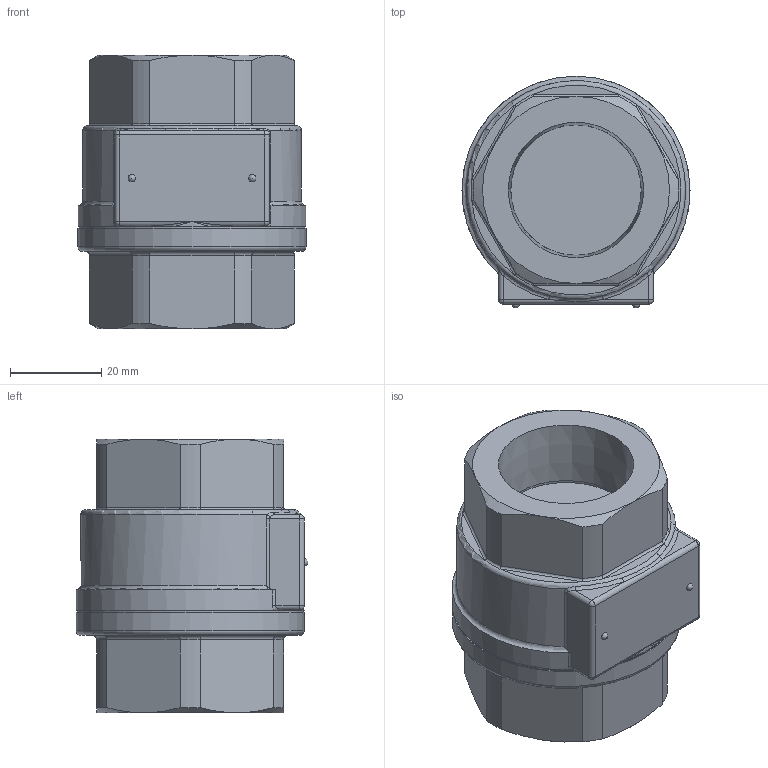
import cadquery as cq
import math

TOTAL_HEIGHT = 60.0
END_Z = TOTAL_HEIGHT / 2

HEX_ACROSS_FLATS = 41.0
HEX_CORNER_DIAMETER = 45.0
HEX_TURN = 30.0
HEX_CHAMFER_ANGLE = 30.0
UPPER_HEX_FILLET = 0.5
LOWER_HEX_FILLET = 1.0
HEX_FOOT_RADIUS = 26.0
HEX_FOOT_DEPTH = 1.0

BODY_RADIUS = 24.0
BODY_TOP_Z = 14.5
BODY_TOP_FILLET = 1.0
FLANGE_RADIUS = 25.0
FLANGE_STEP = FLANGE_RADIUS - BODY_RADIUS
UPPER_FLANGE_TOP_Z = -3.0
UPPER_FLANGE_BOTTOM_Z = -7.5
LOWER_FLANGE_TOP_Z = -8.0
LOWER_FLANGE_BOTTOM_Z = -13.0
LOWER_FLANGE_FILLET = 1.0
FLANGE_GAP_DEPTH = 0.25

HOUSING_WIDTH = 34.0
HOUSING_HEIGHT = 21.0
HOUSING_FRONT_Y = -FLANGE_RADIUS
HOUSING_BACK_Y = -10.0
HOUSING_EDGE_FILLET = 1.0
HOUSING_ROOT_FILLET = 1.0
HOUSING_TOP_Z = UPPER_FLANGE_BOTTOM_Z + HOUSING_HEIGHT

SELECT_MARGIN = 0.1

PIN_SPACING = 26.4
PIN_RADIUS = 0.8

BORE_MOUTH_DIAMETER = 29.7
BORE_FLOOR_DIAMETER = 28.57
BORE_TAPER_DEPTH = 14.5
BORE_DEPTH = 15.0


def make_flanges():
    """Turned base: two flanges parted by a narrow gap, with a hollow curve up to the barrel."""
    gap_radius = FLANGE_RADIUS - FLANGE_GAP_DEPTH
    flanges = (
        cq.Workplane("XZ")
        .moveTo(0, LOWER_FLANGE_BOTTOM_Z)
        .lineTo(FLANGE_RADIUS, LOWER_FLANGE_BOTTOM_Z)
        .lineTo(FLANGE_RADIUS, LOWER_FLANGE_TOP_Z)
        .lineTo(gap_radius, LOWER_FLANGE_TOP_Z)
        .lineTo(gap_radius, UPPER_FLANGE_BOTTOM_Z)
        .lineTo(FLANGE_RADIUS, UPPER_FLANGE_BOTTOM_Z)
        .lineTo(FLANGE_RADIUS, UPPER_FLANGE_TOP_Z)
        .radiusArc((BODY_RADIUS, UPPER_FLANGE_TOP_Z + FLANGE_STEP), FLANGE_STEP)
        .lineTo(0, UPPER_FLANGE_TOP_Z + FLANGE_STEP)
        .close()
        .revolve(360, (0, 0, 0), (0, 1, 0))
    )
    return flanges.faces("<Z").edges().fillet(LOWER_FLANGE_FILLET)


def make_barrel():
    """Upper barrel with a rounded top; it runs down inside the flanges."""
    return (
        cq.Workplane("XY")
        .workplane(offset=LOWER_FLANGE_BOTTOM_Z)
        .circle(BODY_RADIUS)
        .extrude(BODY_TOP_Z - LOWER_FLANGE_BOTTOM_Z)
        .faces(">Z")
        .edges()
        .fillet(BODY_TOP_FILLET)
    )


def make_housing():
    """Rectangular block reaching from inside the body out to the front face."""
    depth = HOUSING_BACK_Y - HOUSING_FRONT_Y
    return (
        cq.Workplane("XY")
        .box(HOUSING_WIDTH, depth, HOUSING_HEIGHT)
        .faces("<Y or <X or >X")
        .edges("not >Y")
        .fillet(HOUSING_EDGE_FILLET)
        .translate((0, HOUSING_FRONT_Y + depth / 2, HOUSING_TOP_Z - HOUSING_HEIGHT / 2))
    )


def housing_root_edges(radius):
    """Select the two upright edges where the housing sides meet a round face of this radius."""
    half_width = HOUSING_WIDTH / 2
    root_y = -math.sqrt(radius**2 - half_width**2)

    def side_edge(x):
        return cq.selectors.BoxSelector(
            (x - SELECT_MARGIN, root_y - SELECT_MARGIN, UPPER_FLANGE_BOTTOM_Z),
            (x + SELECT_MARGIN, root_y + SELECT_MARGIN, HOUSING_TOP_Z - HOUSING_EDGE_FILLET),
        )

    return side_edge(-half_width) + side_edge(half_width)


def flange_lip_edges():
    """Select the curved edges where the upper flange breaks through the housing's rounded bottom edge."""
    rounding_start = FLANGE_RADIUS - HOUSING_EDGE_FILLET
    half_length = math.sqrt(FLANGE_RADIUS**2 - rounding_start**2)
    return cq.selectors.BoxSelector(
        (-half_length, -FLANGE_RADIUS, UPPER_FLANGE_BOTTOM_Z + SELECT_MARGIN),
        (half_length, -rounding_start, UPPER_FLANGE_BOTTOM_Z + HOUSING_EDGE_FILLET - SELECT_MARGIN),
    )


def make_barrel_with_housing():
    """Barrel and housing blended together, cut off level with the bottom of the housing."""
    blended = (
        make_barrel()
        .union(make_housing())
        .edges(housing_root_edges(BODY_RADIUS))
        .fillet(HOUSING_ROOT_FILLET)
    )
    below_housing = (
        cq.Workplane("XY")
        .workplane(offset=UPPER_FLANGE_BOTTOM_Z)
        .circle(2 * FLANGE_RADIUS)
        .extrude(LOWER_FLANGE_BOTTOM_Z - UPPER_FLANGE_BOTTOM_Z)
    )
    return blended.cut(below_housing)


def make_body():
    """Flanges, barrel and housing, with the housing also blended into the upper flange."""
    return (
        make_barrel_with_housing()
        .union(make_flanges())
        .edges(housing_root_edges(FLANGE_RADIUS) + flange_lip_edges())
        .fillet(HOUSING_ROOT_FILLET)
    )


def make_hex_end(face_z, root_fillet):
    """Upward hexagonal end from a root plane to END_Z, with a filleted root."""
    height = END_Z - face_z
    corner_radius = HEX_CORNER_DIAMETER / 2
    flat_radius = HEX_ACROSS_FLATS / 2
    chamfer_drop = (corner_radius - flat_radius) * math.tan(math.radians(HEX_CHAMFER_ANGLE))
    prism = (
        cq.Workplane("XY")
        .workplane(offset=face_z)
        .transformed(rotate=(0, 0, HEX_TURN))
        .polygon(6, HEX_ACROSS_FLATS, circumscribed=True)
        .extrude(height)
    )
    turned_blank = (
        cq.Workplane("XZ")
        .moveTo(0, face_z)
        .lineTo(corner_radius, face_z)
        .lineTo(corner_radius, END_Z - chamfer_drop)
        .lineTo(flat_radius, END_Z)
        .lineTo(0, END_Z)
        .close()
        .revolve(360, (0, 0, 0), (0, 1, 0))
    )
    foot = (
        cq.Workplane("XY")
        .workplane(offset=face_z - HEX_FOOT_DEPTH)
        .circle(HEX_FOOT_RADIUS)
        .extrude(HEX_FOOT_DEPTH)
    )
    root_edges = cq.selectors.BoxSelector(
        (-corner_radius, -corner_radius, face_z - HEX_FOOT_DEPTH / 2),
        (corner_radius, corner_radius, face_z + HEX_FOOT_DEPTH / 2),
        boundingbox=True,
    )
    footed_end = prism.intersect(turned_blank).union(foot).edges(root_edges).fillet(root_fillet)
    return footed_end.cut(foot)


def make_bore():
    """Tapered bore from the upper end face, finishing in a short straight length."""
    mouth_radius = BORE_MOUTH_DIAMETER / 2
    floor_radius = BORE_FLOOR_DIAMETER / 2
    return (
        cq.Workplane("XZ")
        .moveTo(0, END_Z)
        .lineTo(mouth_radius, END_Z)
        .lineTo(floor_radius, END_Z - BORE_TAPER_DEPTH)
        .lineTo(floor_radius, END_Z - BORE_DEPTH)
        .lineTo(0, END_Z - BORE_DEPTH)
        .close()
        .revolve(360, (0, 0, 0), (0, 1, 0))
    )


def make_pin(x):
    """Hemispherical pin standing out of the housing face at mid-height."""
    pin_z = HOUSING_TOP_Z - HOUSING_HEIGHT / 2
    return cq.Workplane("XZ").sphere(PIN_RADIUS).translate((x, HOUSING_FRONT_Y, pin_z))


def turn_over(shape):
    """Mirror an upper-end shape to the lower end."""
    return shape.mirror("XY")


valve = make_body().union(make_hex_end(BODY_TOP_Z, UPPER_HEX_FILLET))
valve = valve.union(turn_over(make_hex_end(-LOWER_FLANGE_BOTTOM_Z, LOWER_HEX_FILLET)))
valve = valve.cut(make_bore()).cut(turn_over(make_bore()))
for pin_x in (-PIN_SPACING / 2, PIN_SPACING / 2):
    valve = valve.union(make_pin(pin_x))

result = valve